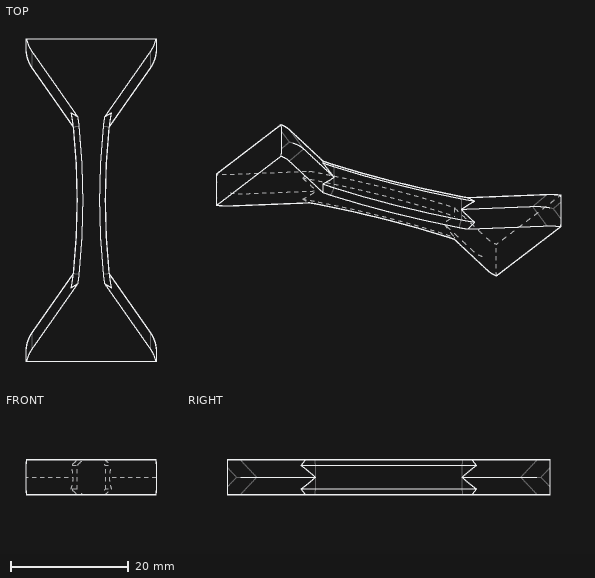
import math

import cadquery as cq

length = 55.0
width = 22.32
thickness = 6.0

gauge_length = 25.0
waist_mid_width = 4.84
waist_end_width = 6.14
waist_chamfer = 1.0
blend_radius = 25.0
blend_length = 3.5

flank_angle = math.radians(35.0)
corner_radius = 6.0
flank_lean = 2.83

half_length = length / 2
half_width = width / 2
half_thickness = thickness / 2
half_gauge = gauge_length / 2


def waist():
    """Bar with hollow sides that flare into both heads."""
    half_mid = waist_mid_width / 2
    half_end = waist_end_width / 2

    sagitta = half_end - half_mid
    side_radius = (half_gauge**2 + sagitta**2) / (2 * sagitta)
    end_angle = math.asin(half_gauge / side_radius)

    blend_center_x = half_end + blend_radius * math.cos(end_angle)
    blend_center_y = half_gauge - blend_radius * math.sin(end_angle)

    def blend_x(y):
        return blend_center_x - math.sqrt(blend_radius**2 - (y - blend_center_y) ** 2)

    end_y = half_gauge + blend_length
    end_x = blend_x(end_y)
    middle_y = half_gauge + blend_length / 2
    middle_x = blend_x(middle_y)

    bar = (
        cq.Workplane("XY")
        .moveTo(end_x, -end_y)
        .threePointArc((middle_x, -middle_y), (half_end, -half_gauge))
        .threePointArc((half_mid, 0), (half_end, half_gauge))
        .threePointArc((middle_x, middle_y), (end_x, end_y))
        .lineTo(-end_x, end_y)
        .threePointArc((-middle_x, middle_y), (-half_end, half_gauge))
        .threePointArc((-half_mid, 0), (-half_end, -half_gauge))
        .threePointArc((-middle_x, -middle_y), (-end_x, -end_y))
        .close()
        .extrude(thickness)
    )
    return bar.faces("<Z or >Z").edges("not |X").chamfer(waist_chamfer)


def head_outline():
    """Outline of the +Y head at the mid-height ridge: a wedge with its point on the Y axis."""
    slope = math.tan(flank_angle)
    tip_y = half_gauge - waist_end_width / 2 / slope
    corner_y = tip_y + half_width / slope
    tangent_length = corner_radius * math.tan(flank_angle / 2)

    arc_start_x = half_width - tangent_length * math.sin(flank_angle)
    arc_start_y = corner_y - tangent_length * math.cos(flank_angle)
    arc_end_y = corner_y + tangent_length
    arc_mid_x = half_width - corner_radius * (1 - math.cos(flank_angle / 2))
    arc_mid_y = arc_end_y - corner_radius * math.sin(flank_angle / 2)

    return (
        cq.Workplane("XY", origin=(0, 0, half_thickness))
        .moveTo(0, tip_y)
        .lineTo(arc_start_x, arc_start_y)
        .threePointArc((arc_mid_x, arc_mid_y), (half_width, arc_end_y))
        .lineTo(half_width, half_length)
        .lineTo(-half_width, half_length)
        .lineTo(-half_width, arc_end_y)
        .threePointArc((-arc_mid_x, arc_mid_y), (-arc_start_x, arc_start_y))
        .close()
        .wire()
        .val()
    )


def head():
    """Two oblique prisms leaning outwards from the ridge, cut off flat at the end face."""
    outline = head_outline()
    upper = cq.Solid.extrudeLinear(outline, [], cq.Vector(0, flank_lean, half_thickness))
    lower = cq.Solid.extrudeLinear(outline, [], cq.Vector(0, flank_lean, -half_thickness))
    envelope = cq.Workplane("XY").box(width, length, thickness, centered=(True, True, False))
    return cq.Workplane(upper).union(cq.Workplane(lower)).intersect(envelope)


rear_head = head()
front_head = rear_head.mirror("XZ")
result = waist().union(rear_head).union(front_head)